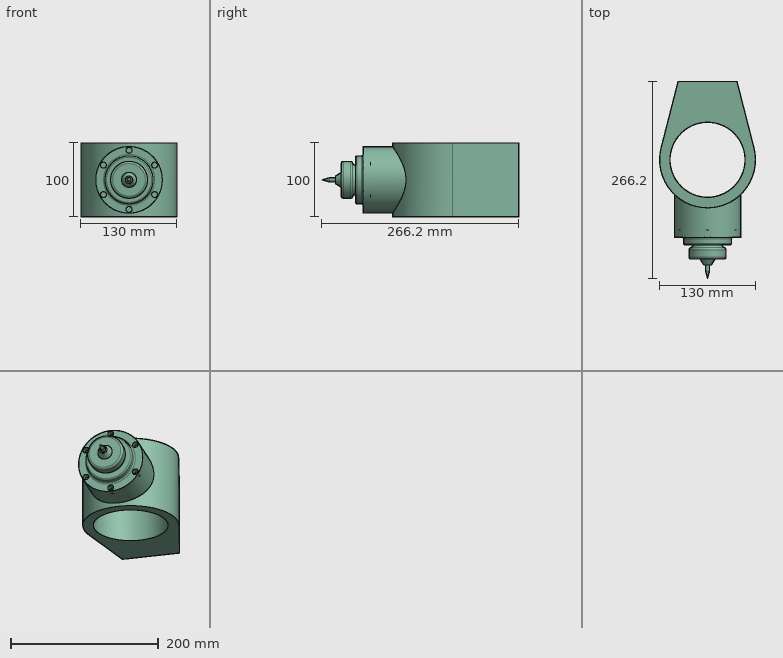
import cadquery as cq
import math

overall_length = 266.2

body_height = 100.0
eye_radius = 65.0
bore_radius = 50.5
back_y = 106.0
back_half_width = 40.0

housing_radius = 45.0
housing_face = 105.0
collar_radius = 32.5
collar_length = 10.0
collar_face = housing_face + collar_length
collar_fillet = 2.0
neck_radius = 20.0
nose_radius = 25.0
neck_fillet = 4.0
nose_face = 134.5
nose_fillet = 3.0
cone_base_radius = 10.0
cone_end_radius = 5.0
cone_end = 142.5
pin_radius = 3.0
pin_shoulder = 150.5
tip_reach = overall_length - back_y

hole_count = 6
hole_radius = 4.0
hole_circle_radius = 40.0
hole_depth = 10.0


def make_body():
    """Extrude the eye outline with straight flanks tangent to it."""
    corner_distance = math.hypot(back_half_width, back_y)
    tangent_angle = math.atan2(back_y, back_half_width) - math.acos(eye_radius / corner_distance)
    tangent_x = eye_radius * math.cos(tangent_angle)
    tangent_y = eye_radius * math.sin(tangent_angle)
    return (
        cq.Workplane("XY")
        .moveTo(-back_half_width, back_y)
        .lineTo(back_half_width, back_y)
        .lineTo(tangent_x, tangent_y)
        .threePointArc((0, -eye_radius), (-tangent_x, tangent_y))
        .close()
        .extrude(body_height / 2, both=True)
    )


def fillet_arc(profile, center, start_angle, end_angle, radius):
    """Add a fillet arc to a profile of (radius, -distance) points; angles in degrees."""
    def point(angle):
        turn = math.radians(angle)
        return (center[0] + radius * math.cos(turn), center[1] + radius * math.sin(turn))

    return profile.threePointArc(point((start_angle + end_angle) / 2), point(end_angle))


def make_spindle():
    """Revolve the housing, collar, nose, cone and pin about the Y axis."""
    collar_inset = collar_radius - collar_fillet
    nose_inset = nose_radius - nose_fillet

    profile = cq.Workplane("XY").lineTo(housing_radius, 0).lineTo(housing_radius, -housing_face)

    root_radius = collar_radius + collar_fillet
    root_end = housing_face + collar_fillet
    collar_shoulder = collar_face - collar_fillet
    profile = profile.lineTo(root_radius, -housing_face)
    profile = fillet_arc(profile, (root_radius, -root_end), 90, 180, collar_fillet)
    profile = profile.lineTo(collar_radius, -collar_shoulder)
    profile = fillet_arc(profile, (collar_inset, -collar_shoulder), 0, -90, collar_fillet)

    hollow_radius = neck_radius + neck_fillet
    radial_offset = nose_inset - hollow_radius
    axial_offset = math.sqrt((neck_fillet + nose_fillet) ** 2 - radial_offset**2)
    nose_shoulder = collar_face + axial_offset
    joint_angle = math.degrees(math.atan2(axial_offset, -radial_offset))
    profile = profile.lineTo(neck_radius, -collar_face)
    profile = fillet_arc(profile, (hollow_radius, -collar_face), 180, 180 + joint_angle, neck_fillet)
    profile = fillet_arc(profile, (nose_inset, -nose_shoulder), joint_angle, 0, nose_fillet)

    profile = profile.lineTo(nose_radius, -nose_face + nose_fillet)
    profile = fillet_arc(profile, (nose_inset, -nose_face + nose_fillet), 0, -90, nose_fillet)

    profile = (
        profile.lineTo(cone_base_radius, -nose_face)
        .lineTo(cone_end_radius, -cone_end)
        .lineTo(pin_radius, -cone_end)
        .lineTo(pin_radius, -pin_shoulder)
        .lineTo(0, -tip_reach)
        .close()
    )
    return profile.revolve(360, (0, 0, 0), (0, 1, 0))


def make_screw_holes():
    """Ring of holes running back from the housing face, one at the top."""
    return (
        cq.Workplane("XZ", origin=(0, -housing_face, 0))
        .polarArray(hole_circle_radius, 90, 360, hole_count)
        .circle(hole_radius)
        .extrude(-hole_depth)
    )


bore = cq.Workplane("XY").circle(bore_radius).extrude(body_height / 2, both=True)

result = make_body().union(make_spindle()).cut(bore).cut(make_screw_holes())